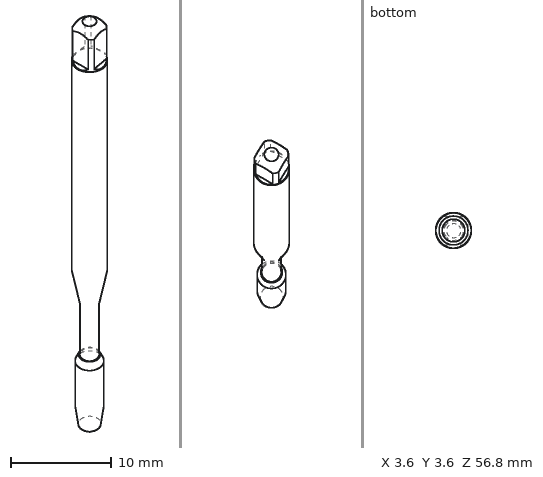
import cadquery as cq
import math

total_length = 56.8
tip_height = 1.15
lead_top = 3.7
thread_chamfer_start = 9.9
thread_top = 10.75
neck_top = 17.8
shank_bottom = 22.5
shank_top = 51.45
flat_bottom = 51.8
crown_bottom = 55.9

tip_diameter = 2.3
thread_diameter = 2.9
thread_end_diameter = 2.15
neck_diameter = 1.95
shank_diameter = 3.6
drive_diameter = 3.45
crown_top_diameter = 1.4

across_flats = 2.85
runout_angle = 45.0


def revolve_profile(outline):
    """Revolve a closed outline of (diameter, height) points about the Z axis."""
    points = [(diameter / 2, height) for diameter, height in outline]
    return (
        cq.Workplane("XZ")
        .polyline(points)
        .close()
        .revolve(360, (0, 0, 0), (0, 1, 0))
    )


def make_thread_section():
    """Pointed cutting end with a tapered lead and a chamfered upper end."""
    return revolve_profile([
        (0, 0),
        (tip_diameter, tip_height),
        (thread_diameter, lead_top),
        (thread_diameter, thread_chamfer_start),
        (thread_end_diameter, thread_top),
        (0, thread_top),
    ])


def make_flat_cutter():
    """Wedge that mills the +X flat and its sloping run-out into the shank."""
    flat_distance = across_flats / 2
    outside = shank_diameter
    runout_drop = (outside - flat_distance) * math.tan(math.radians(runout_angle))
    return (
        cq.Workplane("XZ")
        .polyline([
            (flat_distance, flat_bottom),
            (outside, flat_bottom - runout_drop),
            (outside, total_length),
            (flat_distance, total_length),
        ])
        .close()
        .extrude(shank_diameter, both=True)
    )


def make_shank():
    """Neck, taper and shank ending in a square drive with a conical crown."""
    shank = revolve_profile([
        (0, thread_top),
        (neck_diameter, thread_top),
        (neck_diameter, neck_top),
        (shank_diameter, shank_bottom),
        (shank_diameter, shank_top),
        (drive_diameter, shank_top),
        (drive_diameter, crown_bottom),
        (crown_top_diameter, total_length),
        (0, total_length),
    ])
    flat_cutter = make_flat_cutter()
    for quarter_turn in range(4):
        shank = shank.cut(flat_cutter.rotate((0, 0, 0), (0, 0, 1), 90 * quarter_turn))
    return shank


thread_section = make_thread_section()
shank = make_shank()

result = cq.Compound.makeCompound([thread_section.val(), shank.val()])